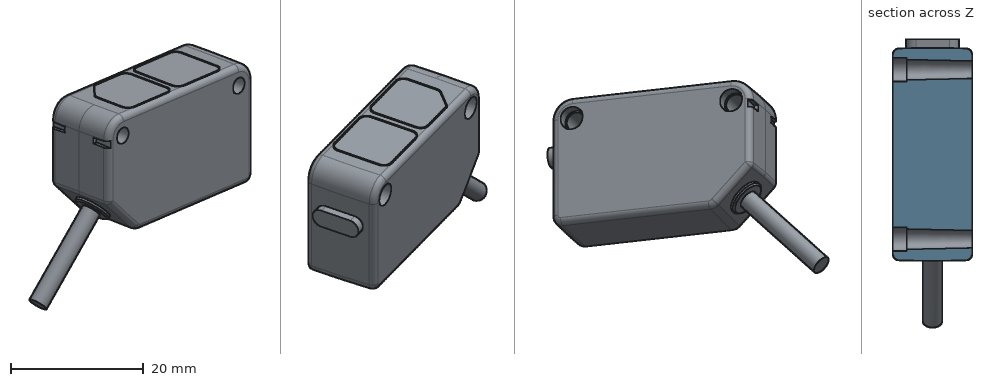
import cadquery as cq
import math

WIDTH = 12.0
LENGTH = 32.1
HEIGHT = 19.95
DRAFT = 0.11
UNDERSIDE_RISE = 0.17
UNDERSIDE_DROP = 0.1
CABLE_CHAMFER = 6.4
TOP_RADIUS = 3.3
BACK_BOTTOM_RADIUS = 1.45
CHAMFER_BOTTOM_RADIUS = 1.82
CHAMFER_TOP_RADIUS = 1.0
SIDE_FILLET = 1.0
CORNER_SEARCH = 0.45

COUNTERBORE_DIAMETER = 3.5
COUNTERBORE_DEPTH = 2.1
HOLE_LARGE_DIAMETER = 3.0
HOLE_SMALL_DIAMETER = 2.55

WINDOW_SIZE = 10.0
WINDOW_SPACING = 11.0
WINDOW_RADIUS = 1.4
WINDOW_CHAMFER = 3.0
GROOVE_WIDTH = 0.15
GROOVE_DEPTH = 0.15

NOTCH_LENGTH = 3.05
NOTCH_DEPTH = 0.7
NOTCH_BELOW_TOP = 4.0
NOTCH_OUTER_HEIGHT = 1.17
NOTCH_INNER_HEIGHT = 0.95

KNOB_WIDTH = 8.0
KNOB_HEIGHT = 3.0
KNOB_PROJECTION = 1.3
KNOB_BELOW_TOP = 8.0
KNOB_ROOT = 0.85

CABLE_DIAMETER = 3.0
CABLE_REACH = 10.03
GLAND_DIAMETER = 5.77
GLAND_HEIGHT = 0.65
GLAND_CHAMFER = 0.25
GLAND_ROOT = 0.85

FRONT = -LENGTH / 2
BACK = LENGTH / 2
SIDE = WIDTH / 2


def corner_edges(body, y, z):
    """Edges running across the width at the given corner of the side profile."""
    reach = CORNER_SEARCH
    box = cq.selectors.BoxSelector((-SIDE, y - reach, z - reach), (SIDE, y + reach, z + reach))
    return body.edges(box)


def make_housing():
    """Side profile, bowed plan outline and slanted underside intersected, then rounded."""
    low = -UNDERSIDE_DROP
    side_block = (
        cq.Workplane("YZ")
        .polyline([
            (BACK, HEIGHT),
            (FRONT, HEIGHT),
            (FRONT, CABLE_CHAMFER),
            (FRONT + CABLE_CHAMFER - low, low),
            (BACK, low),
        ])
        .close()
        .extrude(SIDE, both=True)
    )
    plan_block = (
        cq.Workplane("XY", origin=(0, 0, low))
        .moveTo(-SIDE, BACK - DRAFT)
        .lineTo(-SIDE, FRONT + DRAFT)
        .lineTo(0, FRONT)
        .lineTo(SIDE, FRONT + DRAFT)
        .lineTo(SIDE, BACK - DRAFT)
        .threePointArc((0, BACK), (-SIDE, BACK - DRAFT))
        .close()
        .extrude(HEIGHT - low)
    )
    front_block = (
        cq.Workplane("XZ")
        .polyline([(-SIDE, UNDERSIDE_RISE), (SIDE, low), (SIDE, HEIGHT), (-SIDE, HEIGHT)])
        .close()
        .extrude(BACK, both=True)
    )
    body = side_block.intersect(plan_block).intersect(front_block)

    for y, z, radius in [
        (FRONT, HEIGHT, TOP_RADIUS),
        (BACK, HEIGHT, TOP_RADIUS),
        (BACK, 0, BACK_BOTTOM_RADIUS),
        (FRONT + CABLE_CHAMFER, 0, CHAMFER_BOTTOM_RADIUS),
        (FRONT, CABLE_CHAMFER, CHAMFER_TOP_RADIUS),
    ]:
        body = corner_edges(body, y, z).fillet(radius)
    return body.faces("<X or >X").edges().fillet(SIDE_FILLET)


def make_mounting_hole(y):
    """Counterbore from the -X side, then a hole tapering to the +X side."""
    floor_x = -SIDE + COUNTERBORE_DEPTH
    half_profile = (
        cq.Workplane("XY", origin=(0, y, HEIGHT - TOP_RADIUS))
        .moveTo(-SIDE, 0)
        .lineTo(-SIDE, COUNTERBORE_DIAMETER / 2)
        .lineTo(floor_x, COUNTERBORE_DIAMETER / 2)
        .lineTo(floor_x, HOLE_LARGE_DIAMETER / 2)
        .lineTo(SIDE, HOLE_SMALL_DIAMETER / 2)
        .lineTo(SIDE, 0)
        .close()
    )
    return half_profile.revolve(360, (0, 0, 0), (1, 0, 0))


def make_window_plate(y, inset, has_chamfer):
    """Flat plate with the window outline, shrunk evenly by the inset."""
    size = WINDOW_SIZE - 2 * inset
    radius = WINDOW_RADIUS - inset
    plate = (
        cq.Workplane("XY", origin=(0, y, HEIGHT - GROOVE_DEPTH))
        .rect(size, size)
        .extrude(GROOVE_DEPTH)
        .edges("|Z and (>X or >Y)")
        .fillet(radius)
    )
    if not has_chamfer:
        return plate.edges("|Z and <X and <Y").fillet(radius)
    leg = WINDOW_CHAMFER - inset * (2 - math.sqrt(2))
    plate = plate.edges("|Z and <X and <Y").chamfer(leg)
    return plate.edges("|Z").edges("<Y").edges("<X").fillet(radius)


def make_window_groove(y, has_chamfer):
    outline = make_window_plate(y, 0, has_chamfer)
    return outline.cut(make_window_plate(y, GROOVE_WIDTH, has_chamfer))


def make_notch(side):
    outer = NOTCH_OUTER_HEIGHT / 2
    inner = NOTCH_INNER_HEIGHT / 2
    end = SIDE - NOTCH_LENGTH
    return (
        cq.Workplane("XZ", origin=(0, FRONT + NOTCH_DEPTH, HEIGHT - NOTCH_BELOW_TOP))
        .polyline([
            (side * SIDE, outer),
            (side * end, inner),
            (side * end, -inner),
            (side * SIDE, -outer),
        ])
        .close()
        .extrude(NOTCH_DEPTH)
    )


def make_knob():
    return (
        cq.Workplane("XZ", origin=(0, BACK + KNOB_PROJECTION, HEIGHT - KNOB_BELOW_TOP))
        .slot2D(KNOB_WIDTH, KNOB_HEIGHT)
        .extrude(KNOB_PROJECTION + KNOB_ROOT)
    )


def make_cable():
    """Gland and cable leaving the middle of the 45 degree face squarely."""
    middle = CABLE_CHAMFER / 2
    cable_length = (CABLE_REACH + middle) * math.sqrt(2) - CABLE_DIAMETER / 2
    face = cq.Plane(origin=(0, FRONT + middle, middle), xDir=(1, 0, 0), normal=(0, -1, -1))
    gland = (
        cq.Workplane(face)
        .workplane(offset=-GLAND_ROOT)
        .circle(GLAND_DIAMETER / 2)
        .extrude(GLAND_ROOT + GLAND_HEIGHT)
        .faces(cq.selectors.DirectionMinMaxSelector(cq.Vector(0, -1, -1)))
        .chamfer(GLAND_CHAMFER)
    )
    cable = cq.Workplane(face).circle(CABLE_DIAMETER / 2).extrude(cable_length)
    return gland.union(cable)


result = make_housing()
for hole_y in (FRONT + TOP_RADIUS, BACK - TOP_RADIUS):
    result = result.cut(make_mounting_hole(hole_y))
result = result.cut(make_window_groove(WINDOW_SPACING / 2, False))
result = result.cut(make_window_groove(-WINDOW_SPACING / 2, True))
for notch_side in (-1, 1):
    result = result.cut(make_notch(notch_side))
result = result.union(make_knob()).union(make_cable())